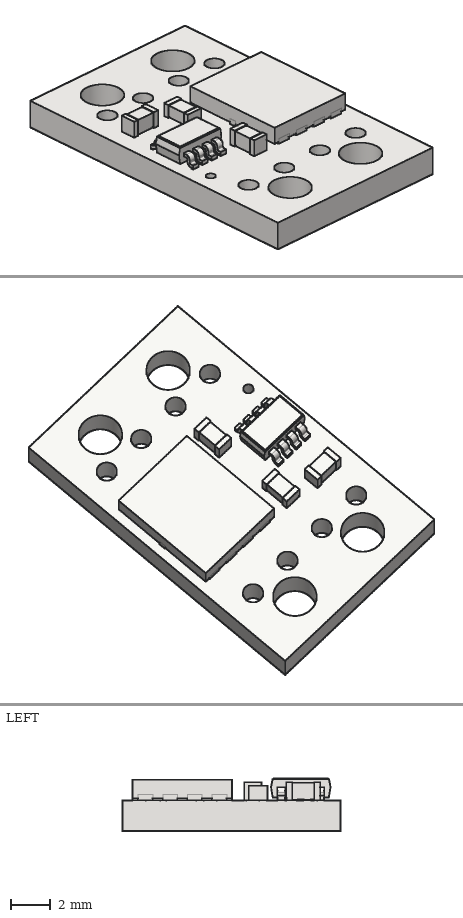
import cadquery as cq


OVERALL_HEIGHT = 2.67
BOARD_LENGTH = 17.78
BOARD_WIDTH = 11.05
BOARD_THICKNESS = 1.55
MOUNT_HOLE_DIAMETER = 2.2
MOUNT_HOLE_X = 6.74
MOUNT_HOLE_Y = 2.5
PIN_HOLE_DIAMETER = 1.03
PIN_HOLE_X = 5.07
PIN_PITCH = 2.55
PINS_PER_ROW = 4
VIA_DIAMETER = 0.52
VIA_CENTRE = (3.05, -4.52)

MODULE_LENGTH = 6.05
MODULE_WIDTH = 5.05
MODULE_CENTRE = (0.1, 2.49)
MODULE_TOP = 1.05
MODULE_GAP = 0.1
SIDE_PAD_WIDTH = 0.75
SIDE_PAD_DEPTH = 0.71
SIDE_PAD_PITCH = 1.25
SIDE_PADS = 4
END_PAD_WIDTH = 0.37
PAD_HEIGHT = 0.32
CENTRE_PAD_LENGTH = 2.42

CAP_LENGTH = 1.7
CAP_WIDTH = 0.89
CAP_HEIGHT = 0.92
LOW_CAP_WIDTH = 0.95
LOW_CAP_HEIGHT = 0.75
TERMINAL_LENGTH = 0.3
TERMINAL_LIP = 0.04
LOW_CAP_CENTRE = (-2.15, -1.35)
EAST_CAP_CENTRE = (2.31, -1.08)
SOUTH_CAP_CENTRE = (-2.92, -3.63)

CHIP_LENGTH = 1.67
CHIP_WIDTH = 3.02
CHIP_CENTRE = (0.45, -3.5)
CHIP_BOTTOM = 0.15
CHIP_SEAM = 0.68
CHIP_TOP = OVERALL_HEIGHT - BOARD_THICKNESS
CHIP_TAPER = 0.09
CHIP_CHAMFER = 0.05
LEAD_PITCH = 0.65
LEADS_PER_SIDE = 4
LEAD_WIDTH = 0.4
LEAD_THICKNESS = 0.18
LEAD_SPAN = 3.04
LEAD_STEM_SPAN = 2.56
LEAD_INNER_RADIUS = 0.09
SOLDER_THICKNESS = 0.05


def row(count, pitch):
    """Evenly spaced positions centred on zero."""
    return [(i - (count - 1) / 2) * pitch for i in range(count)]


def block(length, width, bottom, top, centre=(0, 0)):
    """Upright box between two heights."""
    return (
        cq.Workplane("XY", origin=(centre[0], centre[1], bottom))
        .box(length, width, top - bottom, centered=(True, True, False))
    )


def fuse(first, *others):
    """Join solids, keeping the boundaries between flush faces."""
    joined = first
    for other in others:
        joined = joined.union(other, clean=False)
    return joined


def make_board():
    """Plate with mounting holes, two rows of pin holes and one via."""
    mount_points = [(sx * MOUNT_HOLE_X, sy * MOUNT_HOLE_Y) for sx in (-1, 1) for sy in (-1, 1)]
    pin_points = [(sx * PIN_HOLE_X, y) for sx in (-1, 1) for y in row(PINS_PER_ROW, PIN_PITCH)]
    return (
        block(BOARD_LENGTH, BOARD_WIDTH, -BOARD_THICKNESS, 0)
        .faces(">Z").workplane(origin=(0, 0, 0))
        .pushPoints(mount_points).hole(MOUNT_HOLE_DIAMETER)
        .pushPoints(pin_points).hole(PIN_HOLE_DIAMETER)
        .pushPoints([VIA_CENTRE]).hole(VIA_DIAMETER)
    )


def make_module():
    """Flat box raised on edge pads, flush with its sides, and a centre pad."""
    body = block(MODULE_LENGTH, MODULE_WIDTH, MODULE_GAP, MODULE_TOP)
    centre_pad = block(CENTRE_PAD_LENGTH, MODULE_WIDTH - 2 * SIDE_PAD_DEPTH, 0, MODULE_GAP)
    pads = []
    for side in (-1, 1):
        side_x = side * (MODULE_LENGTH - SIDE_PAD_DEPTH) / 2
        for y in row(SIDE_PADS, SIDE_PAD_PITCH):
            pads.append(block(SIDE_PAD_DEPTH, SIDE_PAD_WIDTH, 0, PAD_HEIGHT, (side_x, y)))
        end_y = side * (MODULE_WIDTH - SIDE_PAD_DEPTH) / 2
        pads.append(block(END_PAD_WIDTH, SIDE_PAD_DEPTH, 0, PAD_HEIGHT, (0, end_y)))
    for pad in pads:
        body = body.cut(pad)
    return fuse(body, centre_pad, *pads).translate((*MODULE_CENTRE, 0))


def make_capacitor(width, height, centre, turn=0):
    """Ceramic body between two end terminals that stand slightly proud of it."""
    capacitor = block(
        CAP_LENGTH - 2 * TERMINAL_LENGTH, width - 2 * TERMINAL_LIP, TERMINAL_LIP, height - TERMINAL_LIP
    )
    for side in (-1, 1):
        terminal_x = side * (CAP_LENGTH - TERMINAL_LENGTH) / 2
        capacitor = fuse(capacitor, block(TERMINAL_LENGTH, width, 0, height, (terminal_x, 0)))
    return capacitor.rotate((0, 0, 0), (0, 0, 1), turn).translate((*centre, 0))


def make_chip_body():
    """Moulded body whose north and south faces slope away from a mid-height seam."""
    seam_y = CHIP_WIDTH / 2
    edge_y = seam_y - CHIP_TAPER
    profile = [
        (-edge_y, CHIP_BOTTOM), (edge_y, CHIP_BOTTOM), (seam_y, CHIP_SEAM),
        (edge_y, CHIP_TOP), (-edge_y, CHIP_TOP), (-seam_y, CHIP_SEAM),
    ]
    return (
        cq.Workplane("YZ").polyline(profile).close().extrude(CHIP_LENGTH / 2, both=True)
        .faces(">Z").chamfer(CHIP_CHAMFER)
    )


def make_lead():
    """Gull-wing lead on the +X side: shoulder out of the body, stem down, flat foot."""
    outer_radius = LEAD_INNER_RADIUS + LEAD_THICKNESS
    root_x = CHIP_LENGTH / 2
    tip_x = LEAD_SPAN / 2
    stem_out = LEAD_STEM_SPAN / 2
    stem_in = stem_out - LEAD_THICKNESS
    shoulder_top = CHIP_SEAM
    shoulder_bottom = shoulder_top - LEAD_THICKNESS
    foot_bottom = SOLDER_THICKNESS
    foot_top = foot_bottom + LEAD_THICKNESS
    lead = (
        cq.Workplane("XZ")
        .moveTo(root_x, shoulder_top)
        .lineTo(stem_out - outer_radius, shoulder_top)
        .tangentArcPoint((stem_out, shoulder_top - outer_radius), relative=False)
        .lineTo(stem_out, foot_top + LEAD_INNER_RADIUS)
        .tangentArcPoint((stem_out + LEAD_INNER_RADIUS, foot_top), relative=False)
        .lineTo(tip_x, foot_top)
        .lineTo(tip_x, foot_bottom)
        .lineTo(stem_in + outer_radius, foot_bottom)
        .tangentArcPoint((stem_in, foot_bottom + outer_radius), relative=False)
        .lineTo(stem_in, shoulder_bottom - LEAD_INNER_RADIUS)
        .tangentArcPoint((stem_in - LEAD_INNER_RADIUS, shoulder_bottom), relative=False)
        .lineTo(root_x, shoulder_bottom)
        .close()
        .extrude(LEAD_WIDTH / 2, both=True)
    )
    heel_x = stem_in + outer_radius
    solder = block(tip_x - heel_x, LEAD_WIDTH, 0, foot_bottom, ((tip_x + heel_x) / 2, 0))
    return fuse(lead, solder)


def make_chip():
    """Chip body with a row of leads on each of its two long sides."""
    chip = make_chip_body()
    right_lead = make_lead()
    left_lead = right_lead.mirror("YZ")
    for y in row(LEADS_PER_SIDE, LEAD_PITCH):
        chip = fuse(chip, right_lead.translate((0, y, 0)), left_lead.translate((0, y, 0)))
    return chip.translate((*CHIP_CENTRE, 0))


result = fuse(
    make_board(),
    make_module(),
    make_capacitor(LOW_CAP_WIDTH, LOW_CAP_HEIGHT, LOW_CAP_CENTRE),
    make_capacitor(CAP_WIDTH, CAP_HEIGHT, EAST_CAP_CENTRE),
    make_capacitor(CAP_WIDTH, CAP_HEIGHT, SOUTH_CAP_CENTRE, turn=90),
    make_chip(),
)